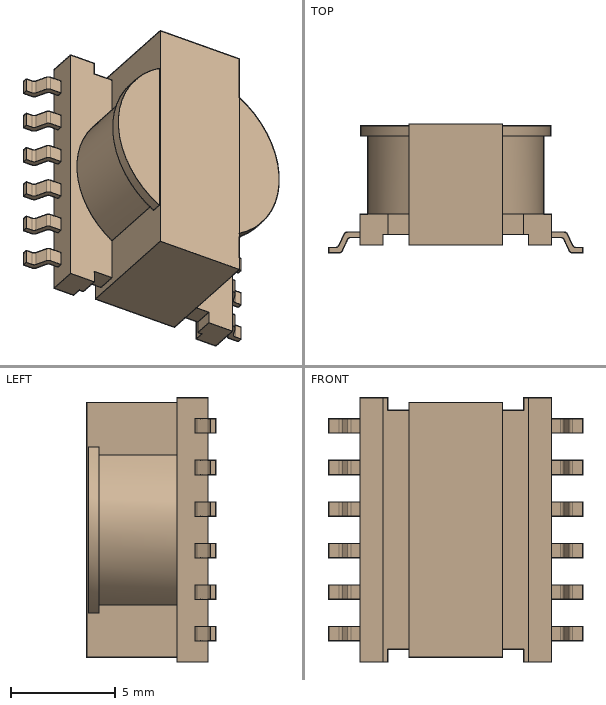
import cadquery as cq
import math


core_width = 4.5
core_length = 12.24
core_front = 0.37
core_back = 6.2

base_width = 9.2
base_length = 12.7
base_back = 1.87
rail_width = 1.12
rail_gap = 6.5
web_length = 11.48
web_front = 0.88

winding_radius = 4.24
flange_radius = 4.57
flange_thickness = 0.51
flange_back = 6.11

leads_per_side = 6
lead_pitch = 2.0
lead_width = 0.7
lead_span = 12.2
lead_thickness = 0.27
lead_height = 1.0
foot_length = 0.45
ramp_run = 0.34
bend_radius = 0.18
lead_embed = 0.25


def block(width, length, front, back):
    """Box centred on X and Z that spans front to back along Y."""
    return cq.Workplane("XY").box(width, back - front, length).translate((0, (front + back) / 2, 0))


def disc(radius, front, back):
    """Cylinder about the Y axis that spans front to back."""
    return cq.Workplane("XZ", origin=(0, front, 0)).circle(radius).extrude(front - back)


def make_base():
    """Bobbin base: full slab, notched at both ends and thinned between the rails."""
    base = block(base_width, base_length, core_front, base_back)
    channel_width = base_width - 2 * rail_width
    channel = block(channel_width, base_length, core_front, web_front)
    end_gaps = block(rail_gap, base_length, core_front, base_back)
    end_gaps = end_gaps.cut(block(rail_gap, web_length, core_front, base_back))
    return base.cut(channel).cut(end_gaps)


def make_lead():
    """One +X lead, centred on Z = 0, with its root buried in the rail."""
    tip = lead_span / 2
    root = base_width / 2 - lead_embed
    foot_bend = tip - foot_length
    shoulder_bend = foot_bend - ramp_run
    ramp_angle = math.atan2(lead_height - lead_thickness, ramp_run)
    corner_shift = lead_thickness * math.tan(ramp_angle / 2)
    upper_bends = [(foot_bend, lead_thickness), (shoulder_bend, lead_height)]
    lower_bends = [
        (shoulder_bend - corner_shift, lead_height - lead_thickness),
        (foot_bend - corner_shift, 0),
    ]
    outline = [(tip, 0), (tip, lead_thickness)]
    outline += upper_bends
    outline += [(root, lead_height), (root, lead_height - lead_thickness)]
    outline += lower_bends
    lead = cq.Workplane("XY").polyline(outline).close().extrude(lead_width / 2, both=True)
    for x, y in upper_bends + lower_bends:
        corner = cq.selectors.NearestToPointSelector((x, y, 0))
        lead = lead.edges("|Z").edges(corner).fillet(bend_radius)
    return lead


result = make_base()
result = result.union(block(core_width, core_length, core_front, core_back))
result = result.union(disc(winding_radius, base_back, flange_back))
result = result.union(disc(flange_radius, flange_back - flange_thickness, flange_back))

right_lead = make_lead()
left_lead = right_lead.mirror("YZ")
for index in range(leads_per_side):
    z = (index - (leads_per_side - 1) / 2) * lead_pitch
    result = result.union(right_lead.translate((0, 0, z)))
    result = result.union(left_lead.translate((0, 0, z)))